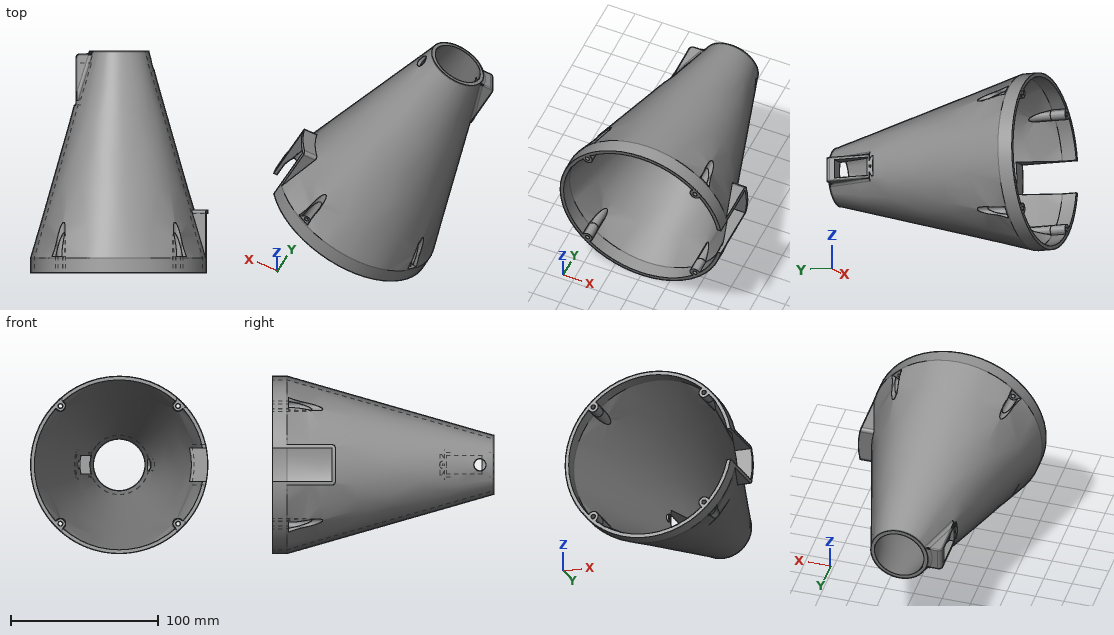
import cadquery as cq
import math

LENGTH = 150
BASE_RADIUS = 60
BASE_BORE_RADIUS = 57.5
BASE_RING_HEIGHT = 10.0
TIP_RADIUS = 20.1
TIP_BORE_RADIUS = 17.4
TIP_BAND_HEIGHT = 0.8
TIP_HOLE_RADIUS = 4.0
TIP_HOLE_Y = 140.4
OVERCUT = 7.5
TOLERANCE = 0.2

BOSS_RADIAL_OFFSET = 56.2
BOSS_RADIUS = 3.6
BOSS_HOLE_RADIUS = 1.5
BOSS_LENGTH = 60
RECESS_RADIUS = 3.2
RECESS_FLARE_RADIUS = 4.0
RECESS_FLOOR_Y = 11.0
BOSS_FLARE_RADIUS = RECESS_FLARE_RADIUS + RECESS_RADIUS - BOSS_RADIUS
BOSS_ANGLES = [45, 135, 225, 315]

SLOT_WIDTH = 22.5
SLOT_DEPTH = 40.2
SLOT_WALL = 2.4
SLOT_BOX_FILLET = 2.2

WINDOW_WIDTH = 12.6
WINDOW_START_Y = 117.9
WINDOW_END_Y = 141.8
WINDOW_BOX_WIDTH = 16.5
WINDOW_BOX_START_Y = 116.4
WINDOW_BOX_END_Y = 148.0
WINDOW_FACE_X = -29.2
WINDOW_EDGE_FILLET = 0.8
WINDOW_END_FILLET = 2.7
WINDOW_BLEND_RADIUS = 2.7
WINDOW_FLAT_WIDTH = 21

TAB_WIDTH = 13.8
TAB_START_Y = 113.4
TAB_HOLE_RADIUS = 0.8
TAB_HOLE_Y = 115.8
TAB_BOSS_RADIUS = 2.7
TAB_BOSS_END_X = -26.4

OUTER_SLOPE = (BASE_RADIUS - TIP_RADIUS) / (LENGTH - TIP_BAND_HEIGHT - BASE_RING_HEIGHT)


def block(x_range, y_range, width):
    """Block between two X and two Y values, centred on Z = 0."""
    size_x = x_range[1] - x_range[0]
    size_y = y_range[1] - y_range[0]
    corner = cq.Vector(x_range[0], y_range[0], -width / 2)
    return cq.Workplane(cq.Solid.makeBox(size_x, size_y, width, corner))


def cylinder_along_x(radius, x_range, y):
    """Cylinder parallel to X at height Z = 0."""
    start = cq.Vector(x_range[0], y, 0)
    length = x_range[1] - x_range[0]
    return cq.Workplane(cq.Solid.makeCylinder(radius, length, start, cq.Vector(1, 0, 0)))


def cylinder_along_y(radius, y_range):
    """Cylinder on the part axis."""
    start = cq.Vector(0, y_range[0], 0)
    length = y_range[1] - y_range[0]
    return cq.Workplane(cq.Solid.makeCylinder(radius, length, start, cq.Vector(0, 1, 0)))


def revolved(points):
    """Solid of revolution about Y from (y, radius) points."""
    return cq.Workplane("YZ").polyline(points).close().revolve(360, (0, 0), (1, 0))


def revolved_cone():
    """Solid outer cone, run past the tip so that the window blend has room."""
    overlong_y = LENGTH + OVERCUT
    overlong_radius = TIP_RADIUS - OUTER_SLOPE * (OVERCUT + TIP_BAND_HEIGHT)
    return revolved([
        (0, 0),
        (0, BASE_RADIUS),
        (BASE_RING_HEIGHT, BASE_RADIUS),
        (overlong_y, overlong_radius),
        (overlong_y, 0),
    ])


def window_box(cone):
    """Flat-faced box on the -X side, blended into the cone and rounded on its outer edges."""
    far_x = WINDOW_FACE_X - OVERCUT
    half_width = WINDOW_BOX_WIDTH / 2
    raw_box = block((far_x, 0), (TAB_START_Y - OVERCUT, WINDOW_BOX_END_Y), WINDOW_BOX_WIDTH)
    foot_zone = cq.selectors.BoxSelector(
        (far_x + TOLERANCE, TAB_START_Y, -half_width - TOLERANCE),
        (0, WINDOW_BOX_END_Y + TOLERANCE, half_width + TOLERANCE),
    )
    blended = cone.union(raw_box).edges(foot_zone).edges("not %LINE").fillet(WINDOW_BLEND_RADIUS)
    box = blended.intersect(block((WINDOW_FACE_X, 0), (WINDOW_BOX_START_Y, LENGTH), WINDOW_FLAT_WIDTH))
    sharp_block = block((WINDOW_FACE_X, 0), (WINDOW_BOX_START_Y, WINDOW_BOX_END_Y), WINDOW_BOX_WIDTH)
    rounded_block = sharp_block.edges("<X and >Y").fillet(WINDOW_END_FILLET)
    rounded_block = rounded_block.faces("<X").edges("|Y").fillet(WINDOW_EDGE_FILLET)
    return box.cut(sharp_block.cut(rounded_block))


def outer_body():
    """Solid outside shape of the shell, with the flat for the screw tab."""
    cone = revolved_cone()
    window_flat = block((-BASE_RADIUS, WINDOW_FACE_X), (WINDOW_BOX_START_Y, LENGTH), WINDOW_FLAT_WIDTH)
    tab_flat = block((-BASE_RADIUS, WINDOW_FACE_X), (TAB_START_Y, WINDOW_BOX_START_Y), TAB_WIDTH)
    trimmed_cone = cone.cut(cylinder_along_y(BASE_RADIUS, (LENGTH, LENGTH + OVERCUT)))
    tip_band = cylinder_along_y(TIP_RADIUS, (LENGTH - TIP_BAND_HEIGHT, LENGTH))
    body = trimmed_cone.union(tip_band).union(slot_box())
    return body.cut(window_flat).cut(tab_flat).union(window_box(cone))


def slot_box():
    """Round-backed box that carries the slot beyond the cone surface."""
    end_y = SLOT_DEPTH + SLOT_WALL
    box = block((0, BASE_RADIUS + OVERCUT), (0, end_y), SLOT_WIDTH + 2 * SLOT_WALL)
    box = box.faces(">Y").edges("|X").fillet(SLOT_BOX_FILLET)
    return box.intersect(cylinder_along_y(BASE_RADIUS, (0, end_y)))


def bore():
    """Cavity of the shell."""
    return revolved([
        (0, 0),
        (0, BASE_BORE_RADIUS),
        (BASE_RING_HEIGHT, BASE_BORE_RADIUS),
        (LENGTH, TIP_BORE_RADIUS),
        (LENGTH, 0),
    ])


def flared_prism(radius, flare_radius, y_range, angle):
    """Prism along Y at a boss centre: a half circle that flares open toward the outside."""
    mouth = radius + flare_radius
    diagonal = math.sqrt(0.5)
    flare_mid = (flare_radius * diagonal, mouth - flare_radius * diagonal)
    plane = cq.Plane(origin=(0, y_range[0], 0), xDir=(1, 0, 0), normal=(0, 1, 0))
    prism = (
        cq.Workplane(plane)
        .moveTo(0, -radius)
        .threePointArc((-radius, 0), (0, radius))
        .threePointArc(flare_mid, (flare_radius, mouth))
        .lineTo(flare_radius, -mouth)
        .threePointArc((flare_mid[0], -flare_mid[1]), (0, -radius))
        .close()
        .extrude(y_range[1] - y_range[0])
    )
    return prism.translate((BOSS_RADIAL_OFFSET, 0, 0)).rotate((0, 0, 0), (0, 1, 0), angle)


def screw_hole(angle):
    """Screw hole from the mouth into a recess."""
    hole = cylinder_along_y(BOSS_HOLE_RADIUS, (0, RECESS_FLOOR_Y + OVERCUT))
    return hole.translate((BOSS_RADIAL_OFFSET, 0, 0)).rotate((0, 0, 0), (0, 1, 0), angle)


def housing():
    """Conical shell with screw bosses, slot and window."""
    outside = outer_body()
    shell = outside.cut(bore())
    for angle in BOSS_ANGLES:
        boss = flared_prism(BOSS_RADIUS, BOSS_FLARE_RADIUS, (0, BOSS_LENGTH), angle)
        shell = shell.union(boss.intersect(outside))
    for angle in BOSS_ANGLES:
        shell = shell.cut(flared_prism(RECESS_RADIUS, RECESS_FLARE_RADIUS, (RECESS_FLOOR_Y, BOSS_LENGTH), angle))
        shell = shell.cut(screw_hole(angle))
    tab_boss = cylinder_along_x(TAB_BOSS_RADIUS, (WINDOW_FACE_X, TAB_BOSS_END_X), TAB_HOLE_Y)
    shell = shell.union(tab_boss)
    shell = shell.cut(block((0, BASE_RADIUS + OVERCUT), (0, SLOT_DEPTH), SLOT_WIDTH))
    shell = shell.cut(block((WINDOW_FACE_X - OVERCUT, 0), (WINDOW_START_Y, WINDOW_END_Y), WINDOW_WIDTH))
    shell = shell.cut(cylinder_along_x(TIP_HOLE_RADIUS, (0, BASE_RADIUS), TIP_HOLE_Y))
    return shell.cut(cylinder_along_x(TAB_HOLE_RADIUS, (WINDOW_FACE_X - OVERCUT, 0), TAB_HOLE_Y))


result = cq.Compound.makeCompound([housing().val()])